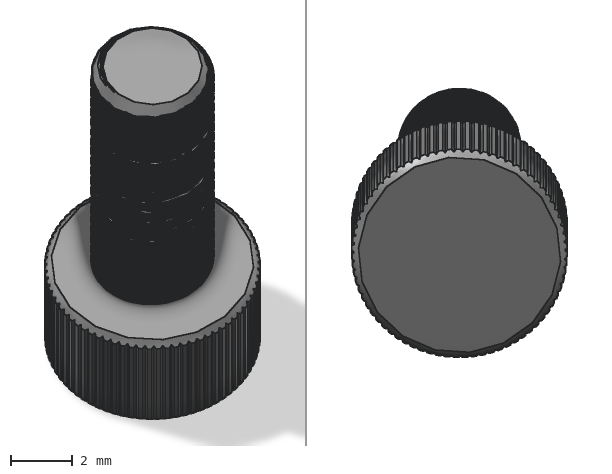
import cadquery as cq
import math

total_length = 14.0
head_diameter = 7.0
head_height = 4.0
head_chamfer = 0.21

groove_count = 75
groove_width = 0.15
groove_depth = 0.07
first_groove_angle = 3.0

thread_diameter = 4.0
thread_turns = 20
tip_chamfer = 0.39
thread_half_angle = 30.0
crest_width = 0.08
crest_above_head = 0.35

head_radius = head_diameter / 2
thread_radius = thread_diameter / 2
thread_length = total_length - head_height
thread_pitch = thread_length / thread_turns
flank_slope = math.tan(math.radians(thread_half_angle))
thread_depth = (thread_pitch - crest_width) / 2 / flank_slope


def knurled_head():
    """Cylinder chamfered at both rims, with V grooves along its whole height."""
    head = cq.Workplane("XY").circle(head_radius).extrude(-head_height)
    head = head.faces("<Z or >Z").chamfer(head_chamfer)

    overrun = 0.01
    half_mouth = groove_width / 2 * (1 + overrun / groove_depth)
    groove = (
        cq.Workplane("XY")
        .polyline([
            (head_radius - groove_depth, 0),
            (head_radius + overrun, -half_mouth),
            (head_radius + overrun, half_mouth),
        ])
        .close()
        .extrude(-head_height)
    )
    axis_start = (0, 0, 0)
    axis_end = (0, 0, 1)
    grooves = [
        groove.rotate(axis_start, axis_end, first_groove_angle + i * 360 / groove_count).val()
        for i in range(groove_count)
    ]
    return cq.Workplane(head.val().cut(*grooves))


def polar_point(radius, angle):
    return (radius * math.cos(angle), radius * math.sin(angle))


def spiral_flank(start_radius, start_angle, end_radius, end_angle):
    """Archimedean spiral: the trace of a straight thread flank on a level plane."""
    def point(t):
        radius = start_radius + (end_radius - start_radius) * t
        angle = start_angle + (end_angle - start_angle) * t
        return polar_point(radius, angle)

    return point


def threaded_shank():
    """Level section of the thread, twisted upward one turn per pitch, with a chamfered tip."""
    root_radius = thread_radius - thread_depth
    half_crest = math.pi * crest_width / thread_pitch
    flank_points = 6

    section = (
        cq.Workplane("XY")
        .moveTo(*polar_point(thread_radius, -half_crest))
        .threePointArc((thread_radius, 0), polar_point(thread_radius, half_crest))
        .parametricCurve(
            spiral_flank(thread_radius, half_crest, root_radius, math.pi),
            N=flank_points,
            makeWire=False,
        )
        .parametricCurve(
            spiral_flank(root_radius, math.pi, thread_radius, 2 * math.pi - half_crest),
            N=flank_points,
            makeWire=False,
        )
        .wire()
    )
    thread = section.twistExtrude(thread_length, 360 * thread_turns)

    start_angle = -360 * crest_above_head / thread_pitch
    thread = thread.rotate((0, 0, 0), (0, 0, 1), start_angle)

    clearance = 0.14
    envelope = (
        cq.Workplane("XY")
        .circle(thread_radius + clearance)
        .extrude(thread_length)
        .faces(">Z")
        .chamfer(tip_chamfer + clearance)
    )
    return envelope.intersect(thread)


result = knurled_head().union(threaded_shank())